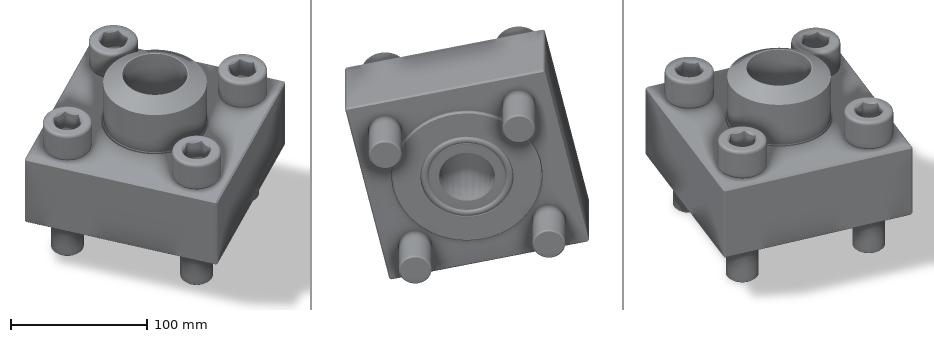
import cadquery as cq
import math

BLOCK_SIDE = 150.0
BLOCK_HEIGHT = 60.0
EDGE_CHAMFER = 1.2
NECK_HOLE_CHAMFER = 1.0
NECK_HOLE_DIAMETER = 77.5
COLLAR_RECESS_DIAMETER = 111.0
COLLAR_RECESS_DEPTH = 18.0

NECK_DIAMETER = 76.0
NECK_TOP_Z = BLOCK_HEIGHT + 43.0
WELD_RIM_DIAMETER = 49.6
WELD_BEVEL_ANGLE = 30.0
SHOULDER_DIAMETER = 77.0
SHOULDER_TOP_Z = BLOCK_HEIGHT + 0.5
COLLAR_DIAMETER = 110.0
COLLAR_CHAMFER = 1.0
COLLAR_PROTRUSION = 2.0
UPPER_BORE_DIAMETER = 47.7
UPPER_BORE_DEPTH = 21.8
BORE_END_DIAMETER = 41.0

RING_INNER_DIAMETER = 56.5
RING_SECTION_DIAMETER = 5.4
RING_PROTRUSION = 1.2
GROOVE_OUTER_DIAMETER = 68.2

SCREW_SPACING = 100.5
SCREW_DIAMETER = 24.0
SCREW_HOLE_DIAMETER = 25.0
SCREW_LENGTH = BLOCK_HEIGHT + 35.0
SCREW_TIP_CHAMFER = 1.0
HEAD_DIAMETER = 36.0
HEAD_HEIGHT = 24.0
HEAD_FILLET = 2.4
SOCKET_CORNER_DIAMETER = 21.9
SOCKET_DEPTH = 15.0

COLLAR_BOTTOM_Z = -COLLAR_PROTRUSION
RING_BOTTOM_Z = COLLAR_BOTTOM_Z - RING_PROTRUSION
GROOVE_DEPTH = RING_SECTION_DIAMETER - RING_PROTRUSION

half_spacing = SCREW_SPACING / 2
SCREW_PLACES = [
    (-half_spacing, -half_spacing, 0),
    (half_spacing, -half_spacing, 90),
    (half_spacing, half_spacing, 180),
    (-half_spacing, half_spacing, 270),
]


def make_block():
    block = (
        cq.Workplane("XY")
        .box(BLOCK_SIDE, BLOCK_SIDE, BLOCK_HEIGHT, centered=(True, True, False))
        .edges()
        .chamfer(EDGE_CHAMFER)
    )
    neck_hole = cq.Workplane("XY").circle(NECK_HOLE_DIAMETER / 2).extrude(BLOCK_HEIGHT)
    hole_lead_in = (
        cq.Workplane("XY", origin=(0, 0, BLOCK_HEIGHT - NECK_HOLE_CHAMFER))
        .circle(NECK_HOLE_DIAMETER / 2)
        .workplane(offset=NECK_HOLE_CHAMFER)
        .circle(NECK_HOLE_DIAMETER / 2 + NECK_HOLE_CHAMFER)
        .loft()
    )
    recess = cq.Workplane("XY").circle(COLLAR_RECESS_DIAMETER / 2).extrude(COLLAR_RECESS_DEPTH)
    screw_holes = (
        cq.Workplane("XY")
        .pushPoints([(x, y) for x, y, _ in SCREW_PLACES])
        .circle(SCREW_HOLE_DIAMETER / 2)
        .extrude(BLOCK_HEIGHT)
    )
    return block.cut(neck_hole).cut(hole_lead_in).cut(recess).cut(screw_holes)


def make_neck():
    shoulder_chamfer = (SHOULDER_DIAMETER - NECK_DIAMETER) / 2
    bevel_height = (NECK_DIAMETER - WELD_RIM_DIAMETER) / 2 * math.tan(math.radians(WELD_BEVEL_ANGLE))
    taper_start_z = NECK_TOP_Z - UPPER_BORE_DEPTH
    neck = (
        cq.Workplane("XZ")
        .moveTo(BORE_END_DIAMETER / 2, COLLAR_BOTTOM_Z)
        .lineTo(COLLAR_DIAMETER / 2 - COLLAR_CHAMFER, COLLAR_BOTTOM_Z)
        .lineTo(COLLAR_DIAMETER / 2, COLLAR_BOTTOM_Z + COLLAR_CHAMFER)
        .lineTo(COLLAR_DIAMETER / 2, COLLAR_RECESS_DEPTH)
        .lineTo(SHOULDER_DIAMETER / 2, COLLAR_RECESS_DEPTH)
        .lineTo(SHOULDER_DIAMETER / 2, SHOULDER_TOP_Z - shoulder_chamfer)
        .lineTo(NECK_DIAMETER / 2, SHOULDER_TOP_Z)
        .lineTo(NECK_DIAMETER / 2, NECK_TOP_Z - bevel_height)
        .lineTo(WELD_RIM_DIAMETER / 2, NECK_TOP_Z)
        .lineTo(UPPER_BORE_DIAMETER / 2, NECK_TOP_Z)
        .lineTo(UPPER_BORE_DIAMETER / 2, taper_start_z)
        .close()
        .revolve(360, (0, 0, 0), (0, 1, 0))
    )
    groove = (
        cq.Workplane("XY", origin=(0, 0, COLLAR_BOTTOM_Z))
        .circle(GROOVE_OUTER_DIAMETER / 2)
        .circle(RING_INNER_DIAMETER / 2)
        .extrude(GROOVE_DEPTH)
    )
    return neck.cut(groove)


def make_ring():
    section_radius = RING_SECTION_DIAMETER / 2
    centerline_radius = RING_INNER_DIAMETER / 2 + section_radius
    torus = cq.Solid.makeTorus(
        centerline_radius, section_radius, pnt=cq.Vector(0, 0, RING_BOTTOM_Z + section_radius)
    )
    return cq.Workplane("XY").add(torus)


def make_screw(x, y, socket_turn):
    """Socket head screw with its head resting on top of the block."""
    head_radius = HEAD_DIAMETER / 2
    shank_radius = SCREW_DIAMETER / 2
    fillet_middle = HEAD_FILLET * (1 - math.sqrt(0.5))
    screw = (
        cq.Workplane("XZ")
        .moveTo(0, -SCREW_LENGTH)
        .lineTo(shank_radius - SCREW_TIP_CHAMFER, -SCREW_LENGTH)
        .lineTo(shank_radius, -SCREW_LENGTH + SCREW_TIP_CHAMFER)
        .lineTo(shank_radius, 0)
        .lineTo(head_radius - HEAD_FILLET, 0)
        .threePointArc((head_radius - fillet_middle, fillet_middle), (head_radius, HEAD_FILLET))
        .lineTo(head_radius, HEAD_HEIGHT - HEAD_FILLET)
        .threePointArc(
            (head_radius - fillet_middle, HEAD_HEIGHT - fillet_middle),
            (head_radius - HEAD_FILLET, HEAD_HEIGHT),
        )
        .lineTo(0, HEAD_HEIGHT)
        .close()
        .revolve(360, (0, 0, 0), (0, 1, 0))
    )
    socket = (
        cq.Workplane("XY", origin=(0, 0, HEAD_HEIGHT - SOCKET_DEPTH))
        .polygon(6, SOCKET_CORNER_DIAMETER)
        .extrude(SOCKET_DEPTH)
    )
    sink_radius = SOCKET_CORNER_DIAMETER / 2
    sink_tip = cq.Vector(0, 0, HEAD_HEIGHT - sink_radius)
    countersink = cq.Workplane("XY").add(cq.Solid.makeCone(0, sink_radius, sink_radius, pnt=sink_tip))
    screw = screw.cut(socket).cut(countersink)
    return screw.rotate((0, 0, 0), (0, 0, 1), socket_turn).translate((x, y, BLOCK_HEIGHT))


block = make_block()
neck = make_neck()
ring = make_ring()
screws = [make_screw(*place) for place in SCREW_PLACES]

result = cq.Compound.makeCompound(
    [block.val(), neck.val(), ring.val(), *[screw.val() for screw in screws]]
)